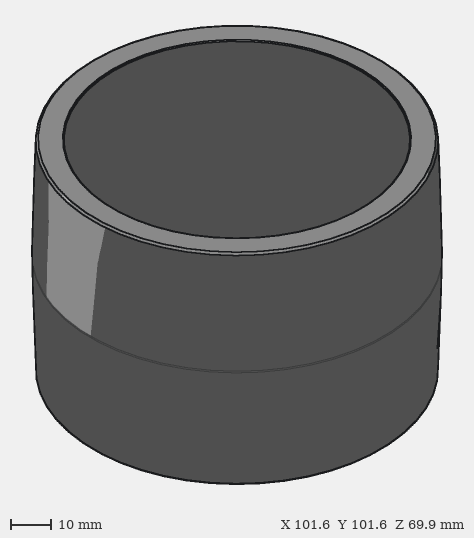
import cadquery as cq

max_diameter = 101.6
end_diameter = 99.7
bore_diameter = 85.6
height = 69.9
outer_chamfer = 0.6
bore_chamfer = 0.3
band_width = 0.5
side_bulge = 0.1

max_radius = max_diameter / 2
end_radius = end_diameter / 2
bore_radius = bore_diameter / 2
half_height = height / 2
half_band = band_width / 2
side_end = half_height - outer_chamfer
bore_end = half_height - bore_chamfer

side_mid_radius = (max_radius + end_radius) / 2 + side_bulge
side_mid_height = (half_band + side_end) / 2

profile = (
    cq.Workplane("XZ")
    .moveTo(bore_radius, -bore_end)
    .lineTo(bore_radius + bore_chamfer, -half_height)
    .lineTo(end_radius - outer_chamfer, -half_height)
    .lineTo(end_radius, -side_end)
    .threePointArc((side_mid_radius, -side_mid_height), (max_radius, -half_band))
    .lineTo(max_radius, half_band)
    .threePointArc((side_mid_radius, side_mid_height), (end_radius, side_end))
    .lineTo(end_radius - outer_chamfer, half_height)
    .lineTo(bore_radius + bore_chamfer, half_height)
    .lineTo(bore_radius, bore_end)
    .close()
)

result = profile.revolve(360, (0, 0, 0), (0, 1, 0))